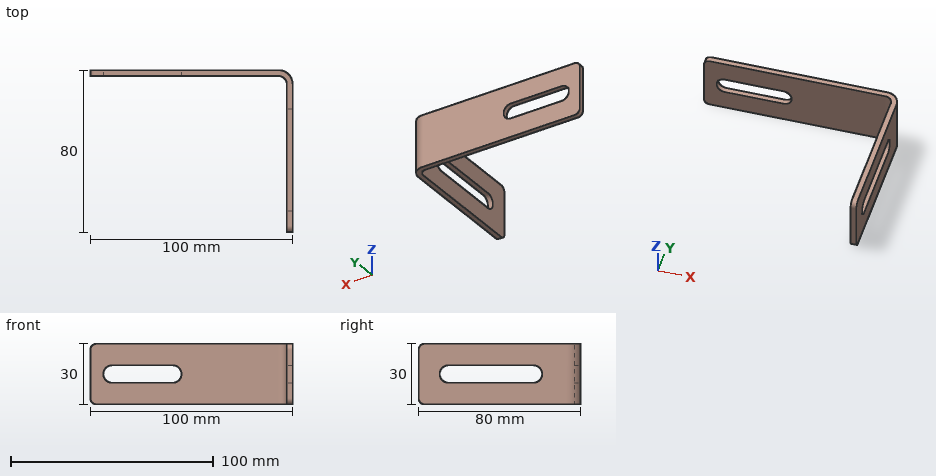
import cadquery as cq

long_leg = 100.0
short_leg = 80.0
width = 30.0
thickness = 3.0

bend_inner_radius = 4.0
bend_outer_radius = bend_inner_radius + thickness
corner_radius = 3.0

slot_width = 8.5
long_leg_slot_length = 38.5
long_leg_slot_margin = 6.5
short_leg_slot_length = 50.5
short_leg_slot_margin = 10.5


def make_bent_strip():
    """L-shaped strip with its outer corner at X = long_leg, Y = 0; the short leg runs to -Y."""
    outer = cq.Workplane("XY").box(long_leg, short_leg, width, centered=False)
    outer = outer.translate((0, -short_leg, 0)).edges("|Z and >X and >Y").fillet(bend_outer_radius)
    inner = cq.Workplane("XY").box(long_leg - thickness, short_leg - thickness, width, centered=False)
    inner = inner.translate((0, -short_leg, 0)).edges("|Z and >X and >Y").fillet(bend_inner_radius)
    return outer.cut(inner)


def round_free_ends(strip):
    """Round the two corners at the free end of each leg."""
    strip = strip.faces("<X").edges("|Y").fillet(corner_radius)
    return strip.faces("<Y").edges("|X").fillet(corner_radius)


def make_slot(plane, centre, length):
    """Obround cutter standing on the named plane, reaching through one leg thickness both ways."""
    return (
        cq.Workplane(plane, origin=centre)
        .slot2D(length, slot_width)
        .extrude(thickness, both=True)
    )


def cut_slots(strip):
    """Cut one lengthwise slot through each leg."""
    long_leg_centre = (long_leg_slot_margin + long_leg_slot_length / 2, -thickness / 2, width / 2)
    short_leg_centre_y = -short_leg + short_leg_slot_margin + short_leg_slot_length / 2
    short_leg_centre = (long_leg - thickness / 2, short_leg_centre_y, width / 2)
    strip = strip.cut(make_slot("XZ", long_leg_centre, long_leg_slot_length))
    return strip.cut(make_slot("YZ", short_leg_centre, short_leg_slot_length))


result = cut_slots(round_free_ends(make_bent_strip()))